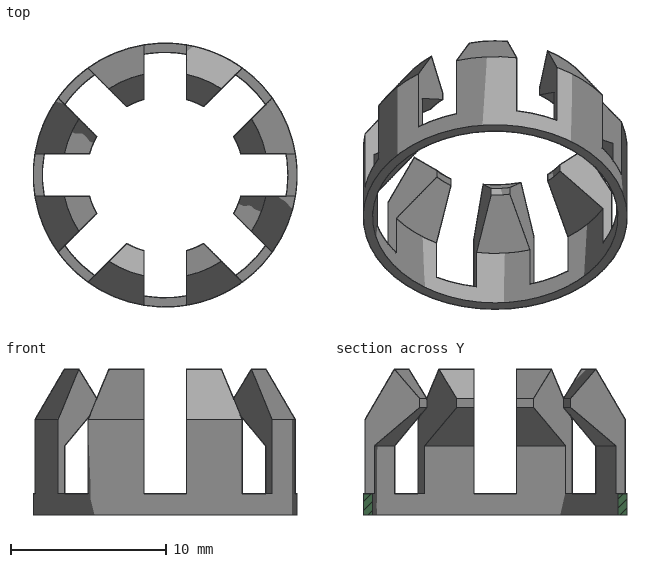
import cadquery as cq

outer_diameter = 17.0
bore_diameter = 15.8
outer_radius = outer_diameter / 2
bore_radius = bore_diameter / 2
height = 9.4
ring_height = 1.38
outer_bend_height = 6.14
inner_bend_height = 4.45
tip_outer_radius = 6.63
tip_inner_radius = 5.05
tip_rim_top = 7.51
tip_rim_bottom = 6.92

slot_count = 8
slot_width = 2.72


def make_body():
    """Revolve the wall: a straight sleeve whose upper end leans inwards to a narrow vertical rim."""
    profile = [
        (bore_radius, 0),
        (outer_radius, 0),
        (outer_radius, outer_bend_height),
        (tip_outer_radius, height),
        (tip_inner_radius, tip_rim_top),
        (tip_inner_radius, tip_rim_bottom),
        (bore_radius, inner_bend_height),
    ]
    return cq.Workplane("XZ").polyline(profile).close().revolve(360, (0, 0), (0, 1))


def make_slots():
    """Bars across the full diameter; each one cuts two opposite slots."""
    slots = cq.Workplane("XY")
    for index in range(slot_count // 2):
        bar = (
            cq.Workplane("XY", origin=(0, 0, ring_height))
            .transformed(rotate=(0, 0, index * 360 / slot_count))
            .rect(2 * outer_diameter, slot_width)
            .extrude(height)
        )
        slots = slots.add(bar)
    return slots.combine()


result = make_body().cut(make_slots())